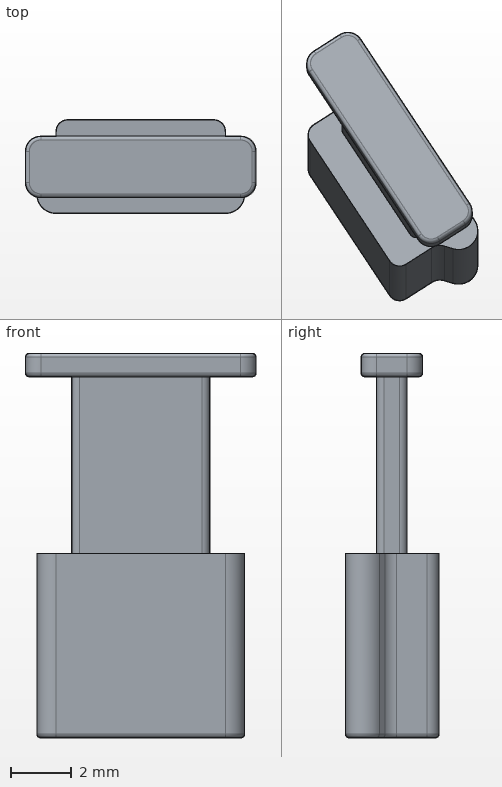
import cadquery as cq
import math

TOTAL_HEIGHT = 12.7

STEM_CENTER_Y = -0.01

PLUG_HEIGHT = 6.1
PLUG_DEPTH = 3.1
FRONT_LOBE_WIDTH = 6.87
BACK_LOBE_WIDTH = 5.6
BACK_CORNER_RADIUS = 0.4
SHOULDER_RADIUS = 0.5
SHOULDER_TURN = math.radians(50)

STEM_WIDTH = 4.56
STEM_DEPTH = 1.02
STEM_CORNER_RADIUS = 0.25

PLATE_WIDTH = 7.62
PLATE_DEPTH = 2.03
PLATE_THICKNESS = 0.77
PLATE_CORNER_RADIUS = 0.51

EDGE_FILLET = 0.13


def arc_point(center, radius, angle):
    return (center[0] + radius * math.cos(angle), center[1] + radius * math.sin(angle))


def plug_outline():
    """Closed outline of the plug: right half drawn from back to front, then mirrored."""
    back_y = PLUG_DEPTH / 2
    front_y = -PLUG_DEPTH / 2
    wall_x = BACK_LOBE_WIDTH / 2

    back_center = (wall_x - BACK_CORNER_RADIUS, back_y - BACK_CORNER_RADIUS)

    front_radius = FRONT_LOBE_WIDTH / 2 - wall_x
    front_center = (wall_x, front_y + front_radius)

    bend_y = front_center[1] + front_radius / math.sin(SHOULDER_TURN)
    wall_end_y = bend_y + SHOULDER_RADIUS * math.tan(SHOULDER_TURN / 2)
    shoulder_center = (wall_x + SHOULDER_RADIUS, wall_end_y)

    return (
        cq.Workplane("XY")
        .moveTo(0, back_y)
        .lineTo(back_center[0], back_y)
        .threePointArc(
            arc_point(back_center, BACK_CORNER_RADIUS, math.pi / 4),
            (wall_x, back_center[1]),
        )
        .lineTo(wall_x, wall_end_y)
        .threePointArc(
            arc_point(shoulder_center, SHOULDER_RADIUS, math.pi + SHOULDER_TURN / 2),
            arc_point(shoulder_center, SHOULDER_RADIUS, math.pi + SHOULDER_TURN),
        )
        .lineTo(*arc_point(front_center, front_radius, SHOULDER_TURN))
        .threePointArc(
            arc_point(front_center, front_radius, 0),
            arc_point(front_center, front_radius, -math.pi / 2),
        )
        .lineTo(0, front_y)
        .mirrorY()
    )


def plug():
    """Plug body with its foot rim rounded."""
    return plug_outline().extrude(PLUG_HEIGHT).faces("<Z").edges().fillet(EDGE_FILLET)


def rounded_block(width, depth, height, corner_radius, base_z):
    """Block centred on X and on the stem's centre plane, with rounded vertical edges."""
    return (
        cq.Workplane("XY")
        .workplane(offset=base_z)
        .center(0, STEM_CENTER_Y)
        .rect(width, depth)
        .extrude(height)
        .edges("|Z")
        .fillet(corner_radius)
    )


def stem():
    height = TOTAL_HEIGHT - PLATE_THICKNESS - PLUG_HEIGHT
    return rounded_block(STEM_WIDTH, STEM_DEPTH, height, STEM_CORNER_RADIUS, PLUG_HEIGHT)


def grip_plate():
    base_z = TOTAL_HEIGHT - PLATE_THICKNESS
    plate = rounded_block(PLATE_WIDTH, PLATE_DEPTH, PLATE_THICKNESS, PLATE_CORNER_RADIUS, base_z)
    return plate.faces("<Z or >Z").edges().fillet(EDGE_FILLET)


result = plug().union(stem()).union(grip_plate())